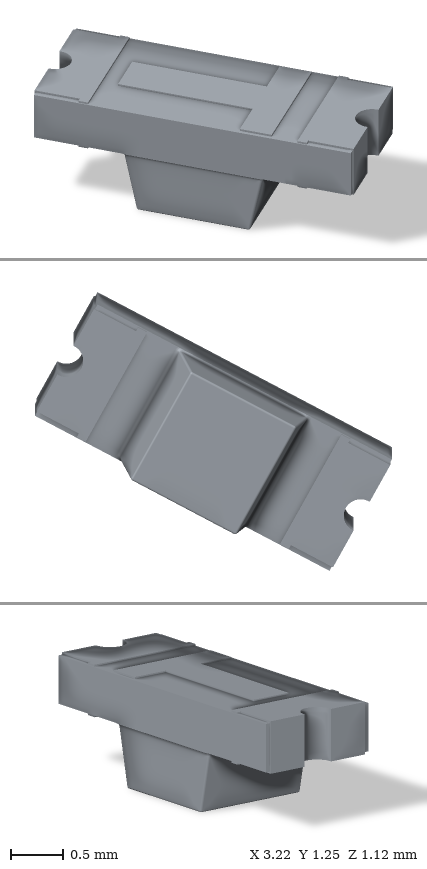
import cadquery as cq
import math

length = 3.22
width = 1.25
height = 1.12
metal = 0.02
end_metal = 0.0105

board_length = length - 2 * end_metal
board_thickness = 0.48
board_top = height / 2 - metal
board_bottom = board_top - board_thickness

terminal_length = 0.555
narrow_length = 0.457
narrow_margin = 0.05
wide_margin = 0.01
notch_radius = 0.16

stem_start = -0.892
bar_start = 0.467
bar_end = 0.79
stem_width = 0.42
bar_width = 1.18

lens_width = 1.21
lens_bottom_length = 1.14
lens_slope = 12.0
lens_edge_radius = 0.02
lens_root_radius = 0.04
lens_bottom = -height / 2
select_margin = 0.003


def block(x_start, x_end, y_size, z_start, z_end):
    """Box given by its X and Z limits, centred on Y."""
    return cq.Workplane("XY").box(
        x_end - x_start, y_size, z_end - z_start, centered=(False, True, False)
    ).translate((x_start, 0, z_start))


def make_terminal():
    """Right-hand terminal: plating wrapped around the top, end and bottom of the board."""
    z_low = board_bottom - metal
    z_high = board_top + metal
    outer = length / 2
    narrow = block(outer - narrow_length, outer, width - 2 * narrow_margin, z_low, z_high)
    wide = block(
        outer - terminal_length, outer - narrow_length, width - 2 * wide_margin, z_low, z_high
    )
    return narrow.union(wide)


def make_mark():
    """T-shaped mark raised on the top of the board."""
    stem = block(stem_start, bar_start, stem_width, board_top, board_top + metal)
    bar = block(bar_start, bar_end, bar_width, board_top, board_top + metal)
    return stem.union(bar)


def make_lens():
    """Tapered lens below the board, with a flared root trimmed flush with the board sides."""
    lens_height = board_bottom - lens_bottom
    half_bottom = lens_bottom_length / 2
    half_top = half_bottom + lens_height * math.tan(math.radians(lens_slope))
    body = (
        cq.Workplane("XZ")
        .polyline([
            (-half_bottom, lens_bottom),
            (half_bottom, lens_bottom),
            (half_top, board_bottom),
            (-half_top, board_bottom),
        ])
        .close()
        .extrude(lens_width / 2, both=True)
    )
    body = body.edges("not (#Z or |Y)").fillet(lens_edge_radius)
    body = body.faces("<Z").edges().fillet(lens_edge_radius)

    plate = block(-length / 2, length / 2, 2 * width, board_bottom, board_top)
    root_edges = cq.selectors.BoxSelector(
        (-half_top - select_margin, -width / 2, board_bottom - select_margin),
        (half_top + select_margin, width / 2, board_bottom + select_margin),
    )
    flared = plate.union(body).edges(root_edges).fillet(lens_root_radius)
    return flared.intersect(block(-length / 2, length / 2, width, lens_bottom, board_bottom))


board = block(-board_length / 2, board_length / 2, width, board_bottom, board_top)
right_terminal = make_terminal()
left_terminal = right_terminal.mirror("YZ")
notches = (
    cq.Workplane("XY")
    .pushPoints([(-board_length / 2, 0), (board_length / 2, 0)])
    .circle(notch_radius)
    .extrude(height, both=True)
)

result = (
    board.union(right_terminal)
    .union(left_terminal)
    .cut(notches)
    .union(make_mark())
    .union(make_lens())
)